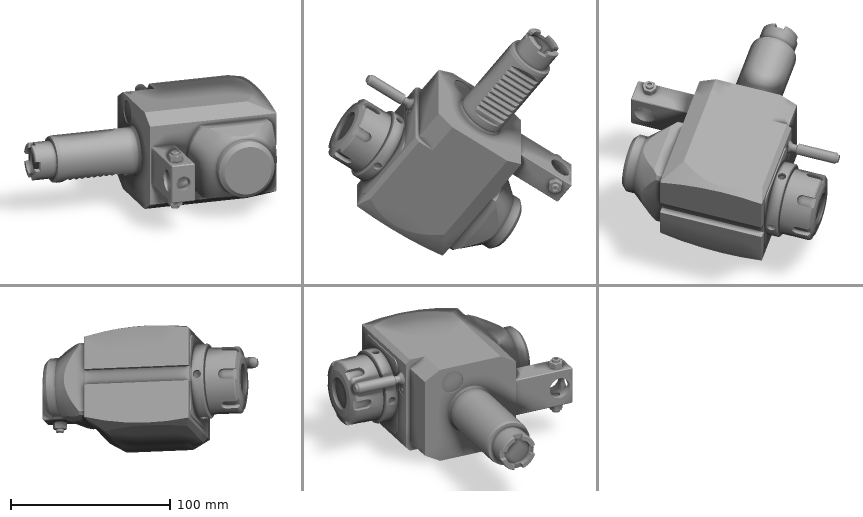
import cadquery as cq
import math


HALF_SIDE = 32.0
BLOCK_LENGTH = 84.2
STEP_LENGTH = 21.1
LEFT_X = -34.9
BEVEL_X = 10.7
BEVEL_Z = 6.1
BACK_BEVEL = 2.9
CROWN_X = -9.0
CROWN_TOP = 31.0
CROWN_RADIUS = 157.6
CROWN_ANGLE = math.radians(13.2)
BACK_EDGE = 0.5
SLOT_WIDTH = 9.8
SLOT_DEPTH = 4.1
SPOT_X = -12.5
SPOT_Z = 21.5
SPOT_RADIUS = 7.5
SPOT_DEPTH = 0.8

SHANK_RADIUS = 15.0
SHANK_FOOT_RADIUS = 15.9
SHANK_LENGTH = 55.0
TIP_LENGTH = 68.8
TIP_RADIUS = 12.0
TIP_BORE_RADIUS = 8.7
TIP_BORE_DEPTH = 4.3
TIP_NOTCH_DEPTH = 3.0
TIP_NOTCH_HALF_ANGLE = math.radians(15.5)
TIP_NOTCH_COUNT = 4
RACK_FLAT = 11.8
RACK_START = 7.0
RACK_FIRST_GROOVE = 11.5
RACK_PITCH = 4.0
RACK_GROOVES = 10
RACK_DEPTH = 1.4
RACK_HALF_GROOVE = 1.7

SPINDLE_Y = 55.2
PLATE_X = -35.5
PLATE_WIDTH = 45.3
PLATE_HEIGHT = 52.6
PLATE_CORNER = 4.5
COLLAR_RADIUS = 23.5
COLLAR_FRONT = -43.1
COLLAR_EDGE = 0.5
NECK_RADIUS = 19.0
COLLAR_HOLE_X = -39.3
COLLAR_HOLE_RADIUS = 2.6
COLLAR_HOLE_DEPTH = 3.0
NUT_BACK = -44.0
NUT_FRONT = -64.5
NUT_RADIUS = 21.0
NUT_RIM_RADIUS = 20.2
NUT_FACE_RADIUS = 15.0
NUT_BORE_RADIUS = 10.4
NUT_BORE_DEPTH = 2.5
NUT_SLOT_COUNT = 6
NUT_SLOT_WIDTH = 6.5
NUT_SLOT_END = -52.3
NUT_SLOT_FLOOR = 17.9

NOZZLE_Y = 26.6
NOZZLE_Z = 16.8
NOZZLE_TIP = -67.8
NOZZLE_RADIUS = 3.5
NOZZLE_TIP_RADIUS = 2.5
NOZZLE_NECK_RADIUS = 2.5
NOZZLE_BASE_RADIUS = 4.3
PLUG_Z = 9.8
PLUG_RADIUS = 4.3
PLUG_DEPTH = 0.3
PLUG_HOLE_RADIUS = 1.4
PLUG_HOLE_DEPTH = 1.2

COVER_RADIUS = 32.0
COVER_STRAIGHT_END = 36.3
COVER_CONE_END = 52.8
COVER_END = 61.0
COVER_NECK_RADIUS = 18.4
COVER_CHAMFER = 2.8
COVER_FLAT_Y = 24.2
COVER_FLAT_Z = 23.1
COVER_SLOPE_START = 39.2
COVER_SLOPE_ANGLE = math.radians(16)

BAR_END = 72.0
BAR_Y_MIN = 0.9
BAR_Y_MAX = 16.4
BAR_HALF_HEIGHT = 12.4
BAR_EDGE = 0.5
BAR_END_EDGE = 0.6
BAR_HOLE_X = 62.9
BAR_HOLE_RADIUS = 6.9
BAR_END_BORE_RADIUS = 4.6
SCREW_Y = 6.3
SCREW_RADIUS = 2.6
SCREW_TOP = 18.5
SCREW_INNER_END = 7.6
SCREW_EDGE = 0.3
SOCKET_WIDTH = 3.4
SOCKET_DEPTH = 1.5
HEX_NUT_HEIGHT = 4.1
HEX_NUT_WIDTH = 9.0
HEX_NUT_EDGE = 0.5

EMBED = 1.5
CLEAR = 1.5


def turned_x(profile, y, z=0.0):
    """Body of revolution about an X-parallel axis from (x, radius) points."""
    outline = [(profile[0][0], 0)] + profile + [(profile[-1][0], 0)]
    body = cq.Workplane("XY").polyline(outline).close().revolve(360, (0, 0), (1, 0))
    return body.translate((0, y, z))


def turned_y(profile):
    """Body of revolution about the Y axis from (radius, y) points."""
    outline = [(0, profile[0][1])] + profile + [(0, profile[-1][1])]
    return cq.Workplane("XY").polyline(outline).close().revolve(360, (0, 0), (0, 1))


def along_y(sketch, y_from, y_to):
    """Extrude an outline of (x, z) points from y_from to y_to."""
    plane = cq.Workplane("XZ", origin=(0, y_from, 0))
    return plane.polyline(sketch).close().extrude(y_from - y_to)


def beveled_section(left, left_x, left_z):
    """Octagonal section with the block's right bevels and given left bevels."""
    upper = [
        (left, HALF_SIDE - left_z),
        (left + left_x, HALF_SIDE),
        (HALF_SIDE - BEVEL_X, HALF_SIDE),
        (HALF_SIDE, HALF_SIDE - BEVEL_Z),
    ]
    return upper + [(x, -z) for x, z in reversed(upper)]


def crown_cone(side):
    """Cone whose wall crowns the upper (side=1) or lower (side=-1) back edge."""
    front_radius = CROWN_RADIUS + BLOCK_LENGTH * math.tan(CROWN_ANGLE)
    cone = turned_y([(front_radius, 0), (CROWN_RADIUS, BLOCK_LENGTH)])
    return cone.translate((CROWN_X, 0, side * (CROWN_TOP - CROWN_RADIUS)))


def make_block():
    front = along_y(beveled_section(-HALF_SIDE, BEVEL_X, BEVEL_Z), 0, STEP_LENGTH)
    back_section = beveled_section(LEFT_X, BACK_BEVEL, BACK_BEVEL)
    block = front.union(along_y(back_section, STEP_LENGTH, BLOCK_LENGTH))
    for side in (1, -1):
        block = block.intersect(crown_cone(side))
    back_edges = (
        cq.Workplane("XY")
        .box(HALF_SIDE - LEFT_X, BLOCK_LENGTH, 2 * HALF_SIDE, centered=(False, False, True))
        .faces(">Y").edges("|Z").chamfer(BACK_EDGE)
        .translate((LEFT_X, 0, 0))
    )
    block = block.intersect(back_edges)
    slot = cq.Workplane("XY").box(4 * HALF_SIDE, 2 * SLOT_DEPTH, SLOT_WIDTH)
    spot = cq.Workplane("XZ").center(SPOT_X, SPOT_Z).circle(SPOT_RADIUS).extrude(-SPOT_DEPTH)
    return block.cut(slot.translate((0, BLOCK_LENGTH, 0))).cut(spot)


def make_rack_cutter():
    """Cutter for the toothed flat below the shank, swept across it along X."""
    last_groove = RACK_FIRST_GROOVE + (RACK_GROOVES - 1) * RACK_PITCH
    root = -RACK_FLAT + RACK_DEPTH
    below = -SHANK_FOOT_RADIUS - CLEAR
    outline = [(-RACK_START, below), (-RACK_START, -RACK_FLAT)]
    for i in range(RACK_GROOVES):
        y = -RACK_FIRST_GROOVE - i * RACK_PITCH
        outline.append((y + RACK_HALF_GROOVE, -RACK_FLAT))
        outline.append((y, root))
        if i < RACK_GROOVES - 1:
            outline.append((y - RACK_HALF_GROOVE, -RACK_FLAT))
    outline.append((-last_groove - (root - below), below))
    plane = cq.Workplane("YZ").polyline(outline).close()
    return plane.extrude(2 * SHANK_RADIUS, both=True)


def make_shank():
    flare_end = 1.5
    body_start = 2.3
    relief_radius = 14.7
    taper_start = 52.6
    taper_radius = 14.5
    groove_radius = 11.6
    groove_end = 55.7
    tip_chamfer = 0.5
    shank = turned_y([
        (SHANK_FOOT_RADIUS, EMBED),
        (SHANK_FOOT_RADIUS, 0),
        (relief_radius, -flare_end),
        (SHANK_RADIUS, -body_start),
        (SHANK_RADIUS, -taper_start),
        (taper_radius, -SHANK_LENGTH),
        (groove_radius, -SHANK_LENGTH),
        (groove_radius, -groove_end),
        (TIP_RADIUS, -groove_end),
        (TIP_RADIUS, -TIP_LENGTH + tip_chamfer),
        (TIP_RADIUS - tip_chamfer, -TIP_LENGTH),
    ])
    shank = shank.cut(make_rack_cutter())
    floor_y = -TIP_LENGTH + TIP_NOTCH_DEPTH
    tip_bore = cq.Workplane("XZ", origin=(0, -TIP_LENGTH, 0)).circle(TIP_BORE_RADIUS)
    shank = shank.cut(tip_bore.extrude(-TIP_BORE_DEPTH))
    reach = TIP_RADIUS + CLEAR
    half_width = reach * math.tan(TIP_NOTCH_HALF_ANGLE)
    sector = along_y([(0, 0), (reach, half_width), (reach, -half_width)], floor_y, -TIP_LENGTH)
    for i in range(TIP_NOTCH_COUNT):
        shank = shank.cut(sector.rotate((0, 0, 0), (0, 1, 0), i * 360 / TIP_NOTCH_COUNT))
    return shank


def make_plate():
    plate = cq.Workplane("YZ", origin=(PLATE_X, SPINDLE_Y, 0)).rect(PLATE_WIDTH, PLATE_HEIGHT)
    return plate.extrude(LEFT_X - PLATE_X + EMBED).edges("|X").fillet(PLATE_CORNER)


def make_collar():
    collar = turned_x([
        (PLATE_X + EMBED, COLLAR_RADIUS - COLLAR_EDGE),
        (PLATE_X, COLLAR_RADIUS - COLLAR_EDGE),
        (PLATE_X - COLLAR_EDGE, COLLAR_RADIUS),
        (COLLAR_FRONT + COLLAR_EDGE, COLLAR_RADIUS),
        (COLLAR_FRONT, COLLAR_RADIUS - COLLAR_EDGE),
        (COLLAR_FRONT, NECK_RADIUS),
        (NUT_BACK - EMBED, NECK_RADIUS),
    ], SPINDLE_Y)
    floor = COLLAR_RADIUS - COLLAR_HOLE_DEPTH
    cone_tip = floor - COLLAR_HOLE_RADIUS / 2
    drill_outline = [
        (0, cone_tip),
        (COLLAR_HOLE_RADIUS, floor),
        (COLLAR_HOLE_RADIUS, COLLAR_RADIUS + CLEAR),
        (0, COLLAR_RADIUS + CLEAR),
    ]
    drill = cq.Workplane("XZ").polyline(drill_outline).close().revolve(360, (0, 0), (0, 1))
    for angle in (0, 90, 180, 270):
        hole = drill.rotate((0, 0, 0), (1, 0, 0), angle)
        collar = collar.cut(hole.translate((COLLAR_HOLE_X, SPINDLE_Y, 0)))
    return collar


def make_collet_nut():
    rim_x = -63.0
    body_x = -62.3
    nut = turned_x([
        (NUT_BACK, NUT_RADIUS),
        (body_x, NUT_RADIUS),
        (rim_x, NUT_RIM_RADIUS),
        (NUT_FRONT, NUT_FACE_RADIUS),
    ], SPINDLE_Y)
    bore = cq.Workplane("YZ", origin=(NUT_FRONT, SPINDLE_Y, 0)).circle(NUT_BORE_RADIUS)
    nut = nut.cut(bore.extrude(NUT_BORE_DEPTH))
    half_slot = NUT_SLOT_WIDTH / 2
    mouth_x = NUT_FRONT - CLEAR
    slot = (
        cq.Workplane("XY", origin=(0, 0, NUT_SLOT_FLOOR))
        .moveTo(mouth_x, half_slot)
        .lineTo(NUT_SLOT_END - half_slot, half_slot)
        .threePointArc((NUT_SLOT_END, 0), (NUT_SLOT_END - half_slot, -half_slot))
        .lineTo(mouth_x, -half_slot)
        .close()
        .extrude(NUT_RADIUS)
    )
    for i in range(NUT_SLOT_COUNT):
        turned = slot.rotate((0, 0, 0), (1, 0, 0), 90 + i * 360 / NUT_SLOT_COUNT)
        nut = nut.cut(turned.translate((0, SPINDLE_Y, 0)))
    return nut


def make_nozzle():
    tip_end = -66.0
    body_end = -41.0
    neck_start = -40.1
    neck_end = -37.2
    return turned_x([
        (LEFT_X + EMBED, NOZZLE_BASE_RADIUS),
        (LEFT_X, NOZZLE_BASE_RADIUS),
        (neck_end, NOZZLE_NECK_RADIUS),
        (neck_start, NOZZLE_NECK_RADIUS),
        (body_end, NOZZLE_RADIUS),
        (tip_end, NOZZLE_RADIUS),
        (tip_end - NOZZLE_RADIUS + NOZZLE_TIP_RADIUS, NOZZLE_TIP_RADIUS),
        (NOZZLE_TIP, NOZZLE_TIP_RADIUS),
    ], NOZZLE_Y, NOZZLE_Z)


def make_plug_recess():
    return turned_x([
        (LEFT_X - CLEAR, PLUG_RADIUS),
        (LEFT_X + PLUG_DEPTH, PLUG_RADIUS),
        (LEFT_X + PLUG_DEPTH, PLUG_HOLE_RADIUS),
        (LEFT_X + PLUG_HOLE_DEPTH, PLUG_HOLE_RADIUS),
    ], NOZZLE_Y, PLUG_Z)


def make_cover():
    start = HALF_SIDE - EMBED
    cover = turned_x([
        (start, COVER_RADIUS),
        (COVER_STRAIGHT_END, COVER_RADIUS),
        (COVER_CONE_END, COVER_NECK_RADIUS),
        (COVER_END - COVER_CHAMFER, COVER_NECK_RADIUS),
        (COVER_END, COVER_NECK_RADIUS - COVER_CHAMFER),
    ], SPINDLE_Y)
    slope_drop = (COVER_CONE_END - COVER_SLOPE_START) * math.tan(COVER_SLOPE_ANGLE)
    upper = [
        (start, COVER_FLAT_Z),
        (COVER_SLOPE_START, COVER_FLAT_Z),
        (COVER_CONE_END, COVER_FLAT_Z - slope_drop),
        (COVER_END, COVER_FLAT_Z - slope_drop),
    ]
    outline = upper + [(x, -z) for x, z in reversed(upper)]
    envelope = along_y(outline, SPINDLE_Y - COVER_RADIUS, SPINDLE_Y + COVER_FLAT_Y)
    return cover.intersect(envelope)


def make_clamp_screw():
    """Set screw with hexagon nut on top of the bar, pointing up."""
    screw = (
        cq.Workplane("XY", origin=(0, 0, SCREW_INNER_END))
        .circle(SCREW_RADIUS)
        .extrude(SCREW_TOP - SCREW_INNER_END)
        .faces(">Z").chamfer(SCREW_EDGE)
        .faces(">Z").workplane().polygon(6, SOCKET_WIDTH).cutBlind(-SOCKET_DEPTH)
    )
    nut = cq.Workplane("XY", origin=(0, 0, BAR_HALF_HEIGHT)).polygon(6, HEX_NUT_WIDTH)
    nut = nut.extrude(HEX_NUT_HEIGHT)
    rounding = cq.Workplane("XY", origin=(0, 0, BAR_HALF_HEIGHT)).circle(HEX_NUT_WIDTH / 2)
    nut = nut.intersect(rounding.extrude(HEX_NUT_HEIGHT).edges().chamfer(HEX_NUT_EDGE))
    return screw.union(nut).translate((BAR_HOLE_X, SCREW_Y, 0))


def make_bar():
    start = HALF_SIDE - EMBED
    bar = (
        cq.Workplane("XY")
        .box(BAR_END - start, BAR_Y_MAX - BAR_Y_MIN, 2 * BAR_HALF_HEIGHT, centered=(False, False, True))
        .translate((start, BAR_Y_MIN, 0))
        .edges("|X").chamfer(BAR_EDGE)
        .faces(">X").chamfer(BAR_END_EDGE)
    )
    pipe_hole = cq.Workplane("XZ", origin=(BAR_HOLE_X, BAR_Y_MAX, 0)).circle(BAR_HOLE_RADIUS)
    bar = bar.cut(pipe_hole.extrude(BAR_Y_MAX - BAR_Y_MIN))
    middle_y = (BAR_Y_MIN + BAR_Y_MAX) / 2
    end_bore = cq.Workplane("YZ", origin=(BAR_HOLE_X, middle_y, 0)).circle(BAR_END_BORE_RADIUS)
    bar = bar.cut(end_bore.extrude(BAR_END - BAR_HOLE_X))
    screw_hole = cq.Workplane("XY", origin=(BAR_HOLE_X, SCREW_Y, 0)).circle(SCREW_RADIUS)
    bar = bar.cut(screw_hole.extrude(BAR_HALF_HEIGHT, both=True))
    screw = make_clamp_screw()
    return bar.union(screw).union(screw.mirror("XY"))


result = (
    make_block()
    .union(make_shank())
    .union(make_plate())
    .union(make_collar())
    .union(make_collet_nut())
    .union(make_cover())
    .union(make_bar())
    .cut(make_plug_recess())
    .union(make_nozzle())
)